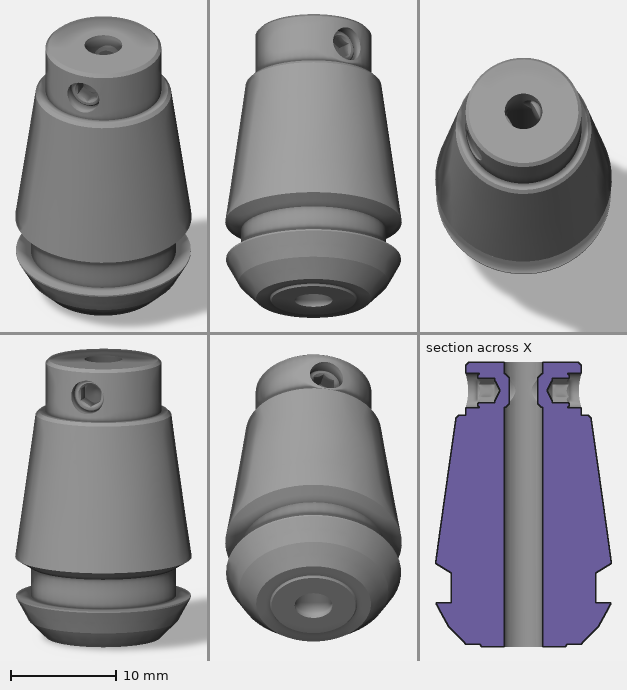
import cadquery as cq
import math

HEIGHT = 27.0
NECK_RADIUS = 11.0 / 2
NECK_BASE_Z = 22.0
EDGE_CHAMFER = 0.3
CONE_HALF_ANGLE = 8.0
CONE_MAX_RADIUS = 16.76 / 2
CONE_MAX_Z = 7.9
SHOULDER_Z = NECK_BASE_Z - EDGE_CHAMFER
SHOULDER_RADIUS = CONE_MAX_RADIUS - (SHOULDER_Z - CONE_MAX_Z) * math.tan(math.radians(CONE_HALF_ANGLE))
GROOVE_RADIUS = 13.8 / 2
GROOVE_TOP_Z = 7.0
GROOVE_BOTTOM_Z = 4.2
FLANGE_RADIUS = 16.6 / 2
FLANGE_RIM_Z = 4.05
TAPER_BREAK_RADIUS = 7.1
TAPER_BREAK_Z = 1.85
BASE_RADIUS = 5.45
BASE_Z = 0.2
PAD_TOP_RADIUS = 4.15
PAD_BOTTOM_RADIUS = 4.0

BORE_DIAMETER = 3.58

SCREW_Z = 24.3
SCREW_DIAMETER = 3.24
SCREW_TIP_Y = 1.35
SCREW_HEAD_Y = 4.35
SCREW_TIP_CHAMFER = 0.35
SCREW_HEAD_CHAMFER = 0.15
SOCKET_FLATS = 1.97
SOCKET_DEPTH = 1.6
SOCKET_MOUTH_DIAMETER = 2.4
SOCKET_MOUTH_DEPTH = 0.25
SOCKET_CONE_HEIGHT = 0.5
HEX_CORNER_RATIO = 1 / math.cos(math.pi / 6)


def make_body():
    """Solid of revolution about Z, closed along the axis."""
    outline = [
        (0, 0),
        (PAD_BOTTOM_RADIUS, 0),
        (PAD_TOP_RADIUS, BASE_Z),
        (BASE_RADIUS, BASE_Z),
        (TAPER_BREAK_RADIUS, TAPER_BREAK_Z),
        (FLANGE_RADIUS, FLANGE_RIM_Z),
        (FLANGE_RADIUS, GROOVE_BOTTOM_Z),
        (GROOVE_RADIUS, GROOVE_BOTTOM_Z),
        (GROOVE_RADIUS, GROOVE_TOP_Z),
        (CONE_MAX_RADIUS, CONE_MAX_Z),
        (SHOULDER_RADIUS, SHOULDER_Z),
        (SHOULDER_RADIUS - EDGE_CHAMFER, NECK_BASE_Z),
        (NECK_RADIUS, NECK_BASE_Z),
        (NECK_RADIUS, HEIGHT - EDGE_CHAMFER),
        (NECK_RADIUS - EDGE_CHAMFER, HEIGHT),
        (0, HEIGHT),
    ]
    return cq.Workplane("XZ").polyline(outline).close().revolve(360, (0, 0, 0), (0, 1, 0))


def cut_bore(body):
    """Round bore along the full height."""
    bore = cq.Workplane("XY").circle(BORE_DIAMETER / 2).extrude(HEIGHT)
    return body.cut(bore)


def front_plane(y):
    """Plane at the given Y, centred on the screw axis, with its normal toward -Y."""
    return cq.Workplane("XZ", origin=(0, y, SCREW_Z))


def make_front_screw_hole():
    """Radial hole from the bore axis out through the -Y side of the neck."""
    return front_plane(0).circle(SCREW_DIAMETER / 2).extrude(NECK_RADIUS)


def make_front_screw():
    """Set screw on the -Y side: chamfered ends and a hexagonal socket with a conical floor."""
    screw = front_plane(-SCREW_TIP_Y).circle(SCREW_DIAMETER / 2).extrude(SCREW_HEAD_Y - SCREW_TIP_Y)
    screw = screw.faces(">Y").chamfer(SCREW_TIP_CHAMFER)
    screw = screw.faces("<Y").chamfer(SCREW_HEAD_CHAMFER)

    corner_diameter = SOCKET_FLATS * HEX_CORNER_RATIO
    floor_y = SOCKET_DEPTH - SCREW_HEAD_Y
    hexagon = front_plane(floor_y).transformed(rotate=(0, 0, 90)).polygon(6, corner_diameter)
    socket = hexagon.extrude(SOCKET_DEPTH)
    floor_cone = cq.Solid.makeCone(
        SOCKET_FLATS / 2, 0, SOCKET_CONE_HEIGHT, cq.Vector(0, floor_y, SCREW_Z), cq.Vector(0, 1, 0)
    )
    mouth = cq.Solid.makeCone(
        SOCKET_MOUTH_DIAMETER / 2,
        SOCKET_FLATS / 2,
        SOCKET_MOUTH_DEPTH,
        cq.Vector(0, -SCREW_HEAD_Y, SCREW_Z),
        cq.Vector(0, 1, 0),
    )
    return screw.cut(socket).cut(cq.Workplane(floor_cone)).cut(cq.Workplane(mouth))


def add_set_screws(body):
    """Drill both radial holes, then seat a screw in each."""
    hole = make_front_screw_hole()
    screw = make_front_screw()
    for angle in (0, 180):
        body = body.cut(hole.rotate((0, 0, 0), (0, 0, 1), angle))
        body = body.union(screw.rotate((0, 0, 0), (0, 0, 1), angle))
    return body


result = add_set_screws(cut_bore(make_body()))